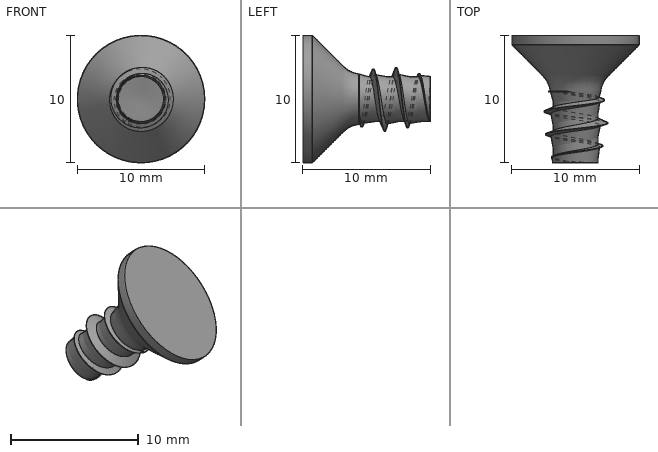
import cadquery as cq
import math


length = 10.0
head_radius = 5.0
head_rim_height = 0.75
rim_break_inset = 0.02
rim_break_height = 0.07
rim_edge_break = 0.03
cone_depth = 2.45

neck_end_depth = 4.4
neck_end_radius = 1.98
shank_start_depth = 5.2
core_radius = 1.76

dish_radius = 1.63
dish_depth = 0.12
core_top_depth = 3.0
tip_overrun = 2.5

pitch = 1.8
first_crest_height = 0.43
crest_radius_max = 2.53
crest_radius_tip = 1.79
crest_radius_head = 2.15
full_crest_start = 2.85
full_crest_end = 3.7
crest_half_width = 0.02
head_flank_slope = 0.42
tip_flank_slope = 0.3
ramp_lift = 0.19
ramp_length = 1.14
root_embed = 0.25
ramp_embed = 0.01
samples_per_turn = 24
thread_first_turn = -0.2

runout_first_turn = 2.85
runout_last_turn = 3.25
runout_start_radius = 2.2
runout_end_radius = 1.95
runout_half_width = 0.04

thread_end = length - neck_end_depth


def make_head():
    """Head and neck turned about Y; the neck cone runs on a little inside the core."""
    cone_end_depth = head_rim_height + cone_depth
    neck_root_radius = core_radius - root_embed
    neck_slope = (shank_start_depth - neck_end_depth) / (neck_end_radius - core_radius)
    neck_root_depth = shank_start_depth + neck_slope * root_embed
    return (
        cq.Workplane("XY")
        .moveTo(0, 0)
        .lineTo(head_radius - rim_break_inset, 0)
        .lineTo(head_radius, -rim_break_height)
        .lineTo(head_radius, -head_rim_height + rim_edge_break)
        .lineTo(head_radius - rim_edge_break, -head_rim_height - rim_edge_break)
        .lineTo(head_radius - cone_depth, -cone_end_depth)
        .tangentArcPoint((neck_end_radius, -neck_end_depth), relative=False)
        .lineTo(neck_root_radius, -neck_root_depth)
        .lineTo(0, -neck_root_depth)
        .close()
        .revolve(360, (0, 0, 0), (0, 1, 0))
    )


def make_tip_cut():
    """Everything beyond the tip plane, with the cone that hollows the dish."""
    cut_end = -length - 2 * tip_overrun
    return (
        cq.Workplane("XY")
        .moveTo(0, -length + dish_depth)
        .lineTo(dish_radius, -length)
        .lineTo(head_radius, -length)
        .lineTo(head_radius, cut_end)
        .lineTo(0, cut_end)
        .close()
        .revolve(360, (0, 0, 0), (0, 1, 0))
    )


def crest_radius(height):
    """Crest radius: rises from the tip, stays full, then falls to the neck."""
    if height < full_crest_start:
        slope = (crest_radius_max - crest_radius_tip) / full_crest_start
        return crest_radius_max - slope * (full_crest_start - height)
    if height > full_crest_end:
        slope = (crest_radius_max - crest_radius_head) / (thread_end - full_crest_end)
        return crest_radius_max - slope * (height - full_crest_end)
    return crest_radius_max


def thread_profile(turn):
    """Corners (radius, height above tip) of the thread section at a turn."""
    height = first_crest_height + pitch * turn
    crest = crest_radius(height)
    root = core_radius - root_embed
    fullness = (crest - core_radius) / (crest_radius_max - core_radius)
    ramp_top = core_radius + ramp_lift * math.sqrt(fullness)
    root_run = crest_half_width + head_flank_slope * (crest - root)
    ramp_run = crest_half_width + tip_flank_slope * (crest - ramp_top)
    return [
        (root, height + root_run),
        (crest, height + crest_half_width),
        (crest, height - crest_half_width),
        (ramp_top, height - ramp_run),
        (core_radius - ramp_embed, height - ramp_length),
        (root, height - ramp_length + root_embed),
    ]


def point_at(turn, radius, height):
    """Point on the right-hand thread; turn 0 lies on the -X side."""
    angle = math.pi - 2 * math.pi * turn
    return cq.Vector(radius * math.cos(angle), height - length, radius * math.sin(angle))


def sweep_profile(profile, first_turn, last_turn):
    """Solid whose section at each turn is the polygon profile(turn)."""
    steps = round((last_turn - first_turn) * samples_per_turn)
    turns = [first_turn + (last_turn - first_turn) * i / steps for i in range(steps + 1)]
    sections = [[point_at(turn, *corner) for corner in profile(turn)] for turn in turns]
    edges = [cq.Edge.makeSpline(list(path)) for path in zip(*sections)]
    next_edges = edges[1:] + edges[:1]
    faces = [cq.Face.makeRuledSurface(a, b) for a, b in zip(edges, next_edges)]
    for section in (sections[0], sections[-1]):
        faces.append(cq.Face.makeFromWires(cq.Wire.makePolygon(section, close=True)))
    shell = cq.Shell.makeShell(faces)
    return cq.Workplane(cq.Solid.makeSolid(shell).fix())


def make_shank():
    """Core with its thread, cut off at the tip and at the end of the neck."""
    last_turn = (thread_end + ramp_length - first_crest_height) / pitch
    thread = sweep_profile(thread_profile, thread_first_turn, last_turn)
    core = (
        cq.Workplane("XZ", origin=(0, -core_top_depth, 0))
        .circle(core_radius)
        .extrude(length + tip_overrun - core_top_depth)
    )
    neck_trim = (
        cq.Workplane("XZ", origin=(0, -neck_end_depth, 0))
        .circle(head_radius)
        .extrude(-neck_end_depth)
    )
    return core.union(thread).cut(make_tip_cut()).cut(neck_trim)


def runout_profile(turn):
    """Rectangular section of the flat runout ring, fading as it turns."""
    fade = (turn - runout_first_turn) / (runout_last_turn - runout_first_turn)
    crest = runout_start_radius + fade * (runout_end_radius - runout_start_radius)
    root = core_radius - root_embed
    return [
        (root, thread_end + runout_half_width),
        (crest, thread_end + runout_half_width),
        (crest, thread_end - runout_half_width),
        (root, thread_end - runout_half_width),
    ]


def make_runout():
    """Thin partial ring at the end of the neck that fades the thread out."""
    return sweep_profile(runout_profile, runout_first_turn, runout_last_turn)


result = make_shank().union(make_head()).union(make_runout()).solids()